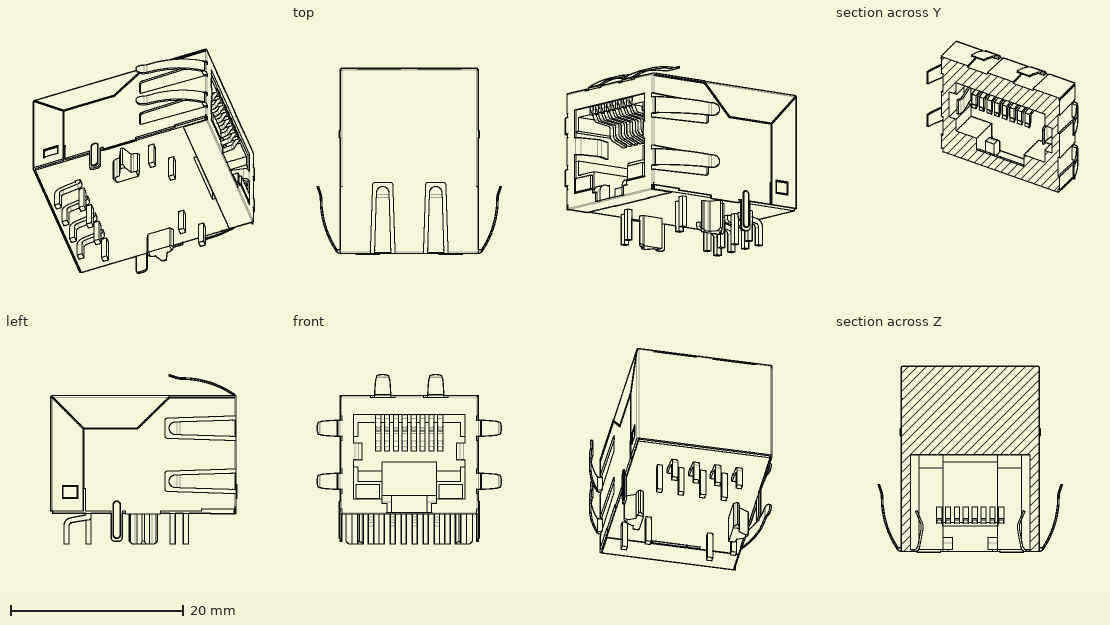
import cadquery as cq
import math


SHEET = 0.22
BEND = 0.24
FRONT_BEND = 0.17
WIDTH = 16.03
HALF_W = WIDTH / 2
LENGTH = 21.5
TOP = 13.75
SHIELD_BOTTOM = 0.37
FRONT_EDGE_RISE = 0.56
FRONT_EDGE_LENGTH = 4.0
HOUSING_BOTTOM = 0.09
HOUSING_BACK = 21.28
FLOOR_TAB_LENGTH = 2.98
FLOOR_TAB_TOP = 0.15
TOP_FLAP_FRONT = 7.77
PIN_BOTTOM = -3.47

OPENING_HALF_W = 6.45
OPENING_BOTTOM = 1.73
OPENING_TOP = 11.57
KEYWAY_BOTTOM = 1.25
KEYWAY_SLOT_HALF_W = 2.6

CAVITY_HALF_W = 5.95
CAVITY_TOP = 10.64
CAVITY_BACK = 11.22
LEDGE_TOP = 3.8
STEP_TOP = 5.0
STEP_FRONT = 9.71
RECESS_HALF_W = 6.9
RECESS_BOTTOM = 5.48
RECESS_TOP = 9.0
CHANNEL_HALF_W = 3.17
CHANNEL_FLOOR = 2.14
CHANNEL_FLOOR_FRONT = 3.37
CHANNEL_STOP_TOP = 6.05
CHANNEL_STOP_FRONT = 10.35

HOOK_INNER_X = 2.05
HOOK_FRONT = 0.24
HOOK_BACK = 1.62
HOOK_ROUND = 0.75

LAMP_INNER_X = 3.43
LAMP_OUTER_X = 6.2
LAMP_BOTTOM = 1.81
LAMP_TOP = 3.4
LAMP_PROUD = 0.09

CONTACT_COUNT = 8
CONTACT_ROW = 7.19
CONTACT_PITCH = CONTACT_ROW / (CONTACT_COUNT - 1)
CONTACT_WIDTH = 0.6
CONTACT_SHEET = 0.32
CONTACT_FRONT = 0.25
CONTACT_SLOT_BACK = 1.73
CONTACT_SHELF = 9.85
CONTACT_DROP_Y = 3.24
CONTACT_DROP_TOP = 9.37
CONTACT_DROP_BOTTOM = 8.45
CONTACT_TAIL_BACK = 5.18
CONTACT_TAIL_BOTTOM = 7.32

SPRING_BOTTOM = 6.28
SPRING_TOP = 8.27
SPRING_ROOT_X = 6.28
SPRING_CREST_X = 5.45

FINGER_SPACING = 6.15
FINGER_LOW_Z = 3.8
FINGER_SIDE_Z = FINGER_LOW_Z + FINGER_SPACING / 2
FINGER_ROOT_W = 1.9
FINGER_TIP_W = 1.47
FINGER_LENGTH = 7.77
FINGER_RISE = 2.44
FINGER_SHEET = 0.2
FINGER_BEND = 0.35
SIDE_FINGER_OFFSET = 0.24
SLOT_ROOT_W = 2.87
SLOT_TIP_W = 2.33
SLOT_LENGTH = 8.27
SLOT_CORNER = 0.32

SEAM_WIDTH = 0.13
SEAM_DEPTH = 0.09
SEAM_BACK_Y = 17.7
SEAM_FRONT_Y = 11.44
SEAM_LEVEL = 9.93
SEAM_SLOT_TOP = 2.93
SEAM_SLOT_WIDTH = 0.24

CATCH_Y = 19.25
CATCH_Z = 2.57
CATCH_WINDOW = (1.8, 1.53)
CATCH_TONGUE = (1.6, 1.3)
CATCH_SINK = 0.06

BACK_NOTCH_INNER = 1.0
BACK_NOTCH_OUTER = 6.0
BACK_NOTCH_DEPTH = 0.1

GROUND_TAB_Y = 13.83
GROUND_TAB_W = 1.3
GROUND_TAB_BOTTOM = -3.17
GROUND_TAB_ROUND = 0.43
RIB_W = 0.86
RIB_BOTTOM = -2.85
RIB_TOP = 1.5
RIB_PROUD = 0.1
RIB_EDGE = 0.06

FOOT_FRONT = 8.76
FOOT_BACK = 12.8
FOOT_BOTTOM = -0.02

POST_X = 5.7
POST_Y = 10.75
POST_RADIUS = 1.65
POST_TIP_CHAMFER = 0.32

PIN_SIZE = 0.63
SIGNAL_PITCH = 1.27
SIGNAL_ROW_Y = 17.11
BENT_ROW_Y = 19.65
LAMP_PINS = ((-6.3, 7.35), (-3.8, 5.83), (3.8, 7.35), (6.3, 5.83))

SIDES = (-1, 1)


def block(x0, x1, y0, y1, z0, z1):
    """Box given by its limits along X, Y and Z."""
    solid = cq.Workplane("XY").box(abs(x1 - x0), y1 - y0, z1 - z0, centered=False)
    return solid.translate((min(x0, x1), y0, z0))


def wide_block(half_width, y0, y1, z0, z1):
    """Box that is symmetric about X = 0."""
    return block(-half_width, half_width, y0, y1, z0, z1)


def side_sheet(outline, side, outer, thickness):
    """Extrude a YZ outline inwards from X = side * outer."""
    return outline.extrude(-side * thickness).translate((side * outer, 0, 0))


def make_body():
    """Shield and housing as one block, with the stepped lower edge."""
    front = wide_block(HALF_W, 0, TOP_FLAP_FRONT, FRONT_EDGE_RISE, TOP)
    front = front.faces("<Y").edges("not <Z").fillet(FRONT_BEND)
    rear = wide_block(HALF_W, TOP_FLAP_FRONT, LENGTH, SHIELD_BOTTOM, TOP)
    rear = rear.edges("(|Y and >Z) or (>Y and (not <Z))").fillet(BEND)
    rear_skirt = wide_block(
        HALF_W, FRONT_EDGE_LENGTH, TOP_FLAP_FRONT, SHIELD_BOTTOM, FRONT_EDGE_RISE + SHEET
    )
    front_plate = wide_block(HALF_W - BEND, 0, BEND, 0, FRONT_EDGE_RISE + BEND)
    front_plate = front_plate.edges("<Y and <Z").fillet(BEND / 2)
    front_corners = wide_block(HALF_W, BEND / 2, BEND, 0, FRONT_EDGE_RISE + BEND)
    floor_tab = wide_block(HALF_W - BEND, BEND / 2, FLOOR_TAB_LENGTH, 0, FLOOR_TAB_TOP)
    housing = wide_block(HALF_W - SHEET, BEND / 2, HOUSING_BACK, HOUSING_BOTTOM, FRONT_EDGE_RISE + SHEET)
    body = front.union(rear)
    for piece in (rear_skirt, front_plate, front_corners, floor_tab, housing):
        body = body.union(piece)
    return body


def make_opening():
    """Everything removed for the plug: shield window, cavity, side recesses and latch channel."""
    opening = wide_block(OPENING_HALF_W, 0, SHEET, OPENING_BOTTOM, OPENING_TOP)
    pieces = (
        wide_block(CHANNEL_HALF_W, 0, SHEET, KEYWAY_BOTTOM, OPENING_BOTTOM),
        wide_block(KEYWAY_SLOT_HALF_W, 0, SHEET, FLOOR_TAB_TOP, KEYWAY_BOTTOM),
        wide_block(CAVITY_HALF_W, SHEET, STEP_FRONT, LEDGE_TOP, CAVITY_TOP),
        wide_block(CAVITY_HALF_W, STEP_FRONT, CAVITY_BACK, STEP_TOP, CAVITY_TOP),
        wide_block(RECESS_HALF_W, SHEET, CAVITY_BACK, RECESS_BOTTOM, RECESS_TOP),
        wide_block(CHANNEL_HALF_W, SHEET, CAVITY_BACK, CHANNEL_FLOOR, STEP_TOP),
        wide_block(CHANNEL_HALF_W, SHEET, CHANNEL_FLOOR_FRONT, FLOOR_TAB_TOP, CHANNEL_FLOOR),
        wide_block(CHANNEL_HALF_W, FLOOR_TAB_LENGTH, CHANNEL_FLOOR_FRONT, 0, FLOOR_TAB_TOP),
    )
    for piece in pieces:
        opening = opening.union(piece)
    return opening


def make_hook(side):
    """Latch hook rising from the floor tab at one edge of the keyway."""
    hook = block(
        side * HOOK_INNER_X, side * CHANNEL_HALF_W, HOOK_FRONT, HOOK_BACK, FLOOR_TAB_TOP / 2, CHANNEL_FLOOR
    )
    return hook.edges("<Y and >Z").fillet(HOOK_ROUND)


def make_lamp(side):
    """Indicator window standing proud of the shield front."""
    return block(
        side * LAMP_INNER_X, side * LAMP_OUTER_X, -LAMP_PROUD, 2 * SHEET, LAMP_BOTTOM, LAMP_TOP
    )


def centered_row(pitch):
    """X positions of one item per contact, spaced by pitch about X = 0."""
    middle = (CONTACT_COUNT - 1) / 2
    return [(i - middle) * pitch for i in range(CONTACT_COUNT)]


def make_contact_slot(x):
    """Slot in the cavity ceiling that one contact emerges from."""
    half = CONTACT_WIDTH / 2
    return block(x - half, x + half, SHEET, CONTACT_SLOT_BACK, CAVITY_TOP - SHEET, OPENING_TOP)


def make_contact(x):
    """Bent contact strip that hangs from its ceiling slot and ends free inside the cavity."""
    root = OPENING_TOP + SHEET
    drop_back = CONTACT_DROP_Y + CONTACT_SHEET
    strip = (
        cq.Workplane("YZ")
        .moveTo(CONTACT_FRONT, root)
        .lineTo(CONTACT_FRONT, 11.48)
        .threePointArc((0.28, 11.29), (0.37, 11.1))
        .lineTo(0.93, 10.05)
        .threePointArc((1.04, 9.9), (1.2, CONTACT_SHELF))
        .lineTo(2.91, CONTACT_SHELF - 0.22)
        .threePointArc((3.15, 9.54), (CONTACT_DROP_Y, CONTACT_DROP_TOP))
        .lineTo(CONTACT_DROP_Y, CONTACT_DROP_BOTTOM)
        .threePointArc((3.39, 8.07), (3.78, 7.85))
        .lineTo(CONTACT_TAIL_BACK, CONTACT_TAIL_BOTTOM)
        .lineTo(CONTACT_TAIL_BACK, CONTACT_TAIL_BOTTOM + CONTACT_SHEET)
        .lineTo(3.85, 7.85 + CONTACT_SHEET)
        .lineTo(drop_back, CONTACT_DROP_BOTTOM)
        .lineTo(drop_back, CONTACT_SHELF)
        .lineTo(CONTACT_SLOT_BACK, CONTACT_SHELF + CONTACT_SHEET)
        .lineTo(CONTACT_SLOT_BACK, root)
        .close()
        .extrude(CONTACT_WIDTH)
    )
    return strip.translate((x - CONTACT_WIDTH / 2, 0, 0))


def make_plug_spring(side):
    """Side spring folded in from the edge of the shield opening."""
    spring = (
        cq.Workplane("XY")
        .moveTo(OPENING_HALF_W + SHEET, 0)
        .lineTo(SPRING_ROOT_X, 0)
        .threePointArc((6.02, 0.15), (5.87, 0.52))
        .lineTo(5.48, 2.6)
        .threePointArc((SPRING_CREST_X, 2.91), (5.52, 3.24))
        .lineTo(6.15, 4.75)
        .lineTo(6.35, 4.66)
        .lineTo(5.7, 3.13)
        .lineTo(5.7, 2.63)
        .lineTo(6.09, 0.6)
        .lineTo(6.35, SHEET)
        .lineTo(OPENING_HALF_W + SHEET, SHEET)
        .close()
        .extrude(SPRING_TOP - SPRING_BOTTOM)
        .translate((0, 0, SPRING_BOTTOM))
    )
    return spring if side > 0 else spring.mirror("YZ")


def make_finger_slot():
    """Tapered relief around one finger, for a face lying at Z = 0."""
    slot = (
        cq.Workplane("XY")
        .polyline([
            (-SLOT_ROOT_W / 2, 0),
            (SLOT_ROOT_W / 2, 0),
            (SLOT_TIP_W / 2, SLOT_LENGTH),
            (-SLOT_TIP_W / 2, SLOT_LENGTH),
        ])
        .close()
        .extrude(-SHEET)
    )
    return slot.edges("|Z and >Y").fillet(SLOT_CORNER)


def make_finger(offset):
    """Bowed finger for a face lying at Z = 0, raised by offset."""
    root_y = BEND / 2
    middle = (3.02, 1.55)
    crest = (6.52, 2.07)
    flare = (6.85, 2.14)
    tip = (FINGER_LENGTH, FINGER_RISE)
    bow = (
        cq.Workplane("YZ")
        .moveTo(root_y, root_y)
        .threePointArc(middle, crest)
        .lineTo(*flare)
        .lineTo(*tip)
        .lineTo(tip[0], tip[1] - FINGER_SHEET)
        .lineTo(flare[0], flare[1] - FINGER_SHEET)
        .lineTo(crest[0], crest[1] - FINGER_SHEET)
        .threePointArc((middle[0], middle[1] - FINGER_SHEET), (root_y, root_y - SHEET))
        .close()
        .extrude(FINGER_ROOT_W / 2, both=True)
    )
    round_start = FINGER_LENGTH - FINGER_TIP_W / 2
    outline = (
        cq.Workplane("XY")
        .moveTo(-FINGER_ROOT_W / 2, 0)
        .lineTo(FINGER_ROOT_W / 2, 0)
        .lineTo(FINGER_TIP_W / 2, round_start)
        .threePointArc((0, FINGER_LENGTH), (-FINGER_TIP_W / 2, round_start))
        .close()
        .extrude(FINGER_RISE + SHEET)
        .translate((0, 0, -SHEET))
    )
    finger = bow.intersect(outline).translate((0, 0, offset))
    root = wide_block(FINGER_ROOT_W / 2, 0, FINGER_BEND + FINGER_SHEET / 2, -FINGER_BEND, offset + root_y)
    root = root.edges("<Y and >Z").fillet(FINGER_BEND)
    return finger.union(root)


def finger_sites():
    """List (turn about Y, position, offset) for the fingers of the top and both sides."""
    sites = []
    for step in (-FINGER_SPACING / 2, FINGER_SPACING / 2):
        sites.append((0, (step, 0, TOP), 0))
        for side in SIDES:
            sites.append((side * 90, (side * HALF_W, 0, FINGER_SIDE_Z + step), SIDE_FINGER_OFFSET))
    return sites


def place(shape, turn, position):
    """Turn a top-face shape about Y and move it to its place."""
    return shape.rotate((0, 0, 0), (0, 1, 0), turn).translate(position)


def make_seam(side):
    """Groove along the edges of the flaps folded over one side."""
    half = SEAM_WIDTH / 2
    flap_edge = [
        (LENGTH - BEND, TOP - BEND),
        (SEAM_BACK_Y, SEAM_LEVEL),
        (SEAM_FRONT_Y, SEAM_LEVEL),
        (TOP_FLAP_FRONT, TOP - BEND),
        (BEND, TOP - BEND),
    ]
    runs = list(zip(flap_edge, flap_edge[1:]))
    runs.append(((SEAM_BACK_Y, SEAM_LEVEL), (SEAM_BACK_Y, SHIELD_BOTTOM)))
    groove = None
    for (y0, z0), (y1, z1) in runs:
        length = math.hypot(y1 - y0, z1 - z0)
        angle = math.degrees(math.atan2(z1 - z0, y1 - y0))
        run = (
            cq.Workplane("YZ")
            .rect(length + half, SEAM_WIDTH)
            .extrude(SEAM_DEPTH, both=True)
            .rotate((0, 0, 0), (1, 0, 0), angle)
            .translate((side * HALF_W, (y0 + y1) / 2, (z0 + z1) / 2))
        )
        groove = run if groove is None else groove.union(run)
    slot = block(
        side * (HALF_W - SHEET), side * HALF_W,
        SEAM_BACK_Y - SEAM_SLOT_WIDTH, SEAM_BACK_Y, SHIELD_BOTTOM, SEAM_SLOT_TOP,
    )
    return groove.union(slot)


def make_catch_gap(side):
    """Gap between the catch window of the back flap and the tongue inside it."""
    plane = cq.Workplane("YZ").center(CATCH_Y, CATCH_Z)
    window = side_sheet(plane.rect(*CATCH_WINDOW), side, HALF_W, SHEET)
    tongue = side_sheet(plane.rect(*CATCH_TONGUE), side, HALF_W - CATCH_SINK, SHEET)
    return window.cut(tongue)


def make_ground_tab(side):
    """Board tab hanging from the side plate, with an embossed rib."""
    half = GROUND_TAB_W / 2
    tab = block(
        side * (HALF_W - SHEET), side * HALF_W,
        GROUND_TAB_Y - half, GROUND_TAB_Y + half, GROUND_TAB_BOTTOM, SHIELD_BOTTOM + SHEET,
    )
    tab = tab.edges("|X and <Z").fillet(GROUND_TAB_ROUND)
    rib = side_sheet(
        cq.Workplane("YZ")
        .center(GROUND_TAB_Y, (RIB_BOTTOM + RIB_TOP) / 2)
        .slot2D(RIB_TOP - RIB_BOTTOM, RIB_W, 90),
        side, HALF_W + RIB_PROUD, SHEET,
    )
    rib = rib.faces(">X" if side > 0 else "<X").chamfer(RIB_EDGE)
    return tab.union(rib)


def make_foot(side):
    """Lower lug of the side plate beside the locating post."""
    return block(
        side * (HALF_W - SHEET), side * HALF_W, FOOT_FRONT, FOOT_BACK, FOOT_BOTTOM, SHIELD_BOTTOM + SHEET
    )


def make_back_notch(side):
    """Shallow relief in the bend between the top and the back."""
    return block(
        side * BACK_NOTCH_INNER, side * BACK_NOTCH_OUTER,
        LENGTH - BACK_NOTCH_DEPTH, LENGTH, TOP - BEND, TOP,
    )


def make_post(side):
    """Three-armed locating post: one arm points outwards, two along Y."""
    half_section = [
        (POST_RADIUS, 0.13),
        (0.4, 0.73),
        (0.4, 1.0),
        (0.25, 1.47),
        (0.06, POST_RADIUS),
        (-0.24, 1.47),
        (-0.39, 1.34),
    ]
    section = half_section + [(x, -y) for x, y in reversed(half_section)]
    height = HOUSING_BOTTOM + SHEET - PIN_BOTTOM
    arms = cq.Workplane("XY").polyline([(side * x, y) for x, y in section]).close().extrude(height)
    round_peg = cq.Workplane("XY").circle(POST_RADIUS).extrude(height)
    round_peg = round_peg.faces("<Z").chamfer(POST_TIP_CHAMFER)
    return arms.intersect(round_peg).translate((side * POST_X, POST_Y, PIN_BOTTOM))


def make_straight_pin(x, y):
    """Square board pin."""
    half = PIN_SIZE / 2
    return block(x - half, x + half, y - half, y + half, PIN_BOTTOM, HOUSING_BOTTOM + SHEET)


def make_bent_pin(x):
    """Pin that leaves the housing in the front row and steps back to the rear row."""
    half = PIN_SIZE / 2
    near = SIGNAL_ROW_Y - half
    far = SIGNAL_ROW_Y + half
    rear_near = BENT_ROW_Y - half
    rear_far = BENT_ROW_Y + half
    root = HOUSING_BOTTOM + SHEET
    pin = (
        cq.Workplane("YZ")
        .moveTo(near, root)
        .lineTo(near, -0.35)
        .threePointArc((16.92, -0.58), (17.18, -0.7))
        .lineTo(19.0, -1.0)
        .threePointArc((19.25, -1.12), (rear_near, -1.4))
        .lineTo(rear_near, PIN_BOTTOM)
        .lineTo(rear_far, PIN_BOTTOM)
        .lineTo(rear_far, -1.34)
        .threePointArc((19.72, -0.73), (19.2, -0.43))
        .lineTo(far, -0.09)
        .lineTo(far, root)
        .close()
        .extrude(PIN_SIZE)
    )
    return pin.translate((x - half, 0, 0))


result = make_body()
for turn, position, offset in finger_sites():
    result = result.cut(place(make_finger_slot(), turn, position))
result = result.cut(make_opening())
channel_stop = wide_block(
    CHANNEL_HALF_W, CHANNEL_STOP_FRONT, CAVITY_BACK, CHANNEL_FLOOR, CHANNEL_STOP_TOP
)
result = result.union(channel_stop)
for x in centered_row(CONTACT_PITCH):
    result = result.cut(make_contact_slot(x)).union(make_contact(x))
for side in SIDES:
    for gap in (make_seam(side), make_catch_gap(side), make_back_notch(side)):
        result = result.cut(gap)
    for piece in (
        make_hook(side),
        make_lamp(side),
        make_plug_spring(side),
        make_ground_tab(side),
        make_foot(side),
        make_post(side),
    ):
        result = result.union(piece)
for turn, position, offset in finger_sites():
    result = result.union(place(make_finger(offset), turn, position))
for x, y in LAMP_PINS:
    result = result.union(make_straight_pin(x, y))
for i, x in enumerate(centered_row(SIGNAL_PITCH)):
    if i % 2:
        result = result.union(make_straight_pin(x, SIGNAL_ROW_Y))
    else:
        result = result.union(make_bent_pin(x))